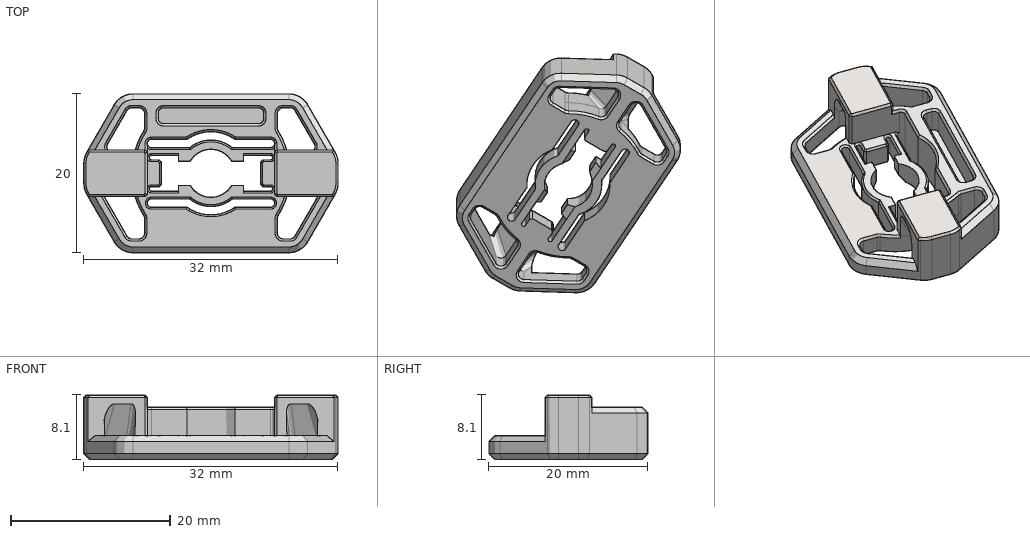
import cadquery as cq
import math

LENGTH = 32.0
WIDTH = 20.0
TOWER_TOP = 8.1
LOW_TOP = 3.0
HIGH_TOP = 6.6
RIM_CHAMFER = 0.75
CORNER_RADIUS = 2.75
END_FLAT_HALF = 2.0

TOWER_INNER_X = 8.0
TOWER_HALF_WIDTH = 2.95
EDGE_CHAMFER = 0.3

RIM_WALL = 1.75
WINDOW_INNER_X = 8.35
WINDOW_ARC_RADIUS = 10.0
WINDOW_END_Y = 1.0
WINDOW_RADIUS = 0.75
ARCH_TOP = 7.0

BORE_RADIUS = 3.0
ARM_INNER_Y = 2.25
ARM_THICKNESS = 1.0
ARM_ARC_RADIUS = 4.2
ARM_SLOT_WIDTH = 1.02
JAW_HALF_GAP = 1.5
JAW_END_X = 4.1
JAW_BEVEL_HEIGHT = 1.0
SLOT_CHAMFER = 0.24

TAB_TIP_X = 6.25
TAB_HALF_WIDTH = 1.7
TAB_CORNER_CHAMFER = 0.3
TAB_SLOT_END_X = 7.75

POCKET_LENGTH = 13.25
POCKET_WIDTH = 2.0
POCKET_CENTER_Y = 7.23
POCKET_RADIUS = 0.65

SLANT = math.radians(60)
HALF_LENGTH = LENGTH / 2
HALF_WIDTH = WIDTH / 2
SLANT_TOP_X = HALF_LENGTH - (HALF_WIDTH - END_FLAT_HALF) / math.tan(SLANT)
ARM_OUTER_Y = ARM_INNER_Y + ARM_THICKNESS
SLOT_OUTER_Y = ARM_OUTER_Y + ARM_SLOT_WIDTH
SLOT_ARC_RADIUS = ARM_ARC_RADIUS + ARM_SLOT_WIDTH
ARM_SLOT_RADIUS = ARM_SLOT_WIDTH / 2
TAB_SLOT_RADIUS = (ARM_INNER_Y - TAB_HALF_WIDTH) / 2
BEVEL_ANGLE = 45
CUT_MARGIN = 0.32


def chord_x(radius, y):
    """X where a circle about the origin crosses the level y."""
    return math.sqrt(radius**2 - y**2)


def block(x0, x1, y0, y1, z0, z1):
    """Box between two corners."""
    return cq.Workplane("XY").box(x1 - x0, y1 - y0, z1 - z0, centered=False).translate((x0, y0, z0))


def both_x(shape):
    """Shape together with its mirror image across X = 0."""
    return shape.union(shape.mirror("YZ"))


def both_y(shape):
    """Shape together with its mirror image across Y = 0."""
    return shape.union(shape.mirror("XZ"))


def edge_bevel(profile, top, size):
    """Cutter that bevels the rim of an opening whose plan is the bottom face of profile."""
    wire = profile.faces("<Z").wires().val()
    wire = wire.translate(cq.Vector(0, 0, -wire.BoundingBox().zmin))
    bevel = cq.Workplane("XY").add(wire).toPending().extrude(size, taper=-BEVEL_ANGLE)
    return bevel.translate((0, 0, top - size))


def outline(height):
    """Six-sided plan with rounded corners and a bevelled bottom rim."""
    right = [(SLANT_TOP_X, -HALF_WIDTH), (HALF_LENGTH, -END_FLAT_HALF),
             (HALF_LENGTH, END_FLAT_HALF), (SLANT_TOP_X, HALF_WIDTH)]
    left = [(-x, -y) for x, y in right]
    body = cq.Workplane("XY").polyline(right + left).close().extrude(height)
    return body.edges("|Z").fillet(CORNER_RADIUS).faces("<Z").chamfer(RIM_CHAMFER)


def window_prism(end_y, height):
    """Round-cornered window in the +X +Y corner, closed by a straight end at end_y."""
    top_y = HALF_WIDTH - RIM_WALL
    slant_top_x = SLANT_TOP_X + RIM_WALL / math.tan(SLANT) - RIM_WALL / math.sin(SLANT)
    slant_end_x = slant_top_x + (top_y - end_y) / math.tan(SLANT)
    arc_end_x = chord_x(WINDOW_ARC_RADIUS, end_y)
    arc_top_y = chord_x(WINDOW_ARC_RADIUS, WINDOW_INNER_X)
    arc_mid_y = (arc_top_y + end_y) / 2
    plan = cq.Workplane("XY").moveTo(arc_end_x, end_y).lineTo(slant_end_x, end_y)
    plan = plan.lineTo(slant_top_x, top_y).lineTo(WINDOW_INNER_X, top_y).lineTo(WINDOW_INNER_X, arc_top_y)
    plan = plan.threePointArc((chord_x(WINDOW_ARC_RADIUS, arc_mid_y), arc_mid_y), (arc_end_x, end_y))
    return plan.close().extrude(height).edges("|Z").fillet(WINDOW_RADIUS)


def window_void():
    """Upright window up to LOW_TOP, then an end wall that leans out to the tower face at ARCH_TOP."""
    upright = window_prism(WINDOW_END_Y, LOW_TOP)
    lower_wire = upright.faces(">Z").wires().val()
    upper_wire = window_prism(TOWER_HALF_WIDTH, ARCH_TOP).faces(">Z").wires().val()
    leaning = cq.Solid.makeLoft([lower_wire, upper_wire], True)
    return upright.union(cq.Workplane("XY").add(leaning))


def arm_slot(height):
    """Round-ended slot along the outside of the +Y arm, bulging around the bore."""
    end_x = TOWER_INNER_X - ARM_SLOT_RADIUS
    mid_y = ARM_OUTER_Y + ARM_SLOT_RADIUS
    inner_x = chord_x(ARM_ARC_RADIUS, ARM_OUTER_Y)
    outer_x = chord_x(SLOT_ARC_RADIUS, SLOT_OUTER_Y)
    plan = cq.Workplane("XY").moveTo(-end_x, ARM_OUTER_Y).lineTo(-inner_x, ARM_OUTER_Y)
    plan = plan.threePointArc((0, ARM_ARC_RADIUS), (inner_x, ARM_OUTER_Y)).lineTo(end_x, ARM_OUTER_Y)
    plan = plan.threePointArc((TOWER_INNER_X, mid_y), (end_x, SLOT_OUTER_Y)).lineTo(outer_x, SLOT_OUTER_Y)
    plan = plan.threePointArc((0, SLOT_ARC_RADIUS), (-outer_x, SLOT_OUTER_Y)).lineTo(-end_x, SLOT_OUTER_Y)
    return plan.threePointArc((-TOWER_INNER_X, mid_y), (-end_x, ARM_OUTER_Y)).close().extrude(height)


def high_notch(height):
    """Clearance in the high half, level with the outer edge of the arm slot."""
    end_x = TOWER_INNER_X - ARM_SLOT_RADIUS
    corner_y = SLOT_OUTER_Y - ARM_SLOT_RADIUS
    middle = ARM_SLOT_RADIUS * math.sqrt(0.5)
    bulge_x = chord_x(SLOT_ARC_RADIUS, SLOT_OUTER_Y)
    plan = cq.Workplane("XY").moveTo(-TOWER_INNER_X, -CUT_MARGIN).lineTo(TOWER_INNER_X, -CUT_MARGIN)
    plan = plan.lineTo(TOWER_INNER_X, corner_y)
    plan = plan.threePointArc((end_x + middle, corner_y + middle), (end_x, SLOT_OUTER_Y))
    plan = plan.lineTo(bulge_x, SLOT_OUTER_Y)
    plan = plan.threePointArc((0, SLOT_ARC_RADIUS), (-bulge_x, SLOT_OUTER_Y)).lineTo(-end_x, SLOT_OUTER_Y)
    plan = plan.threePointArc((-end_x - middle, corner_y + middle), (-TOWER_INNER_X, corner_y))
    return plan.close().extrude(height)


def tab_gap(height):
    """Gap between the +X ends of the arms, wrapped around the tab."""
    end_x = TAB_SLOT_END_X - TAB_SLOT_RADIUS
    mid_y = TAB_HALF_WIDTH + TAB_SLOT_RADIUS
    side_x = TAB_TIP_X + TAB_CORNER_CHAMFER
    tip_y = TAB_HALF_WIDTH - TAB_CORNER_CHAMFER
    plan = cq.Workplane("XY").moveTo(JAW_END_X, -ARM_INNER_Y).lineTo(end_x, -ARM_INNER_Y)
    plan = plan.threePointArc((TAB_SLOT_END_X, -mid_y), (end_x, -TAB_HALF_WIDTH))
    plan = plan.lineTo(side_x, -TAB_HALF_WIDTH).lineTo(TAB_TIP_X, -tip_y)
    plan = plan.lineTo(TAB_TIP_X, tip_y).lineTo(side_x, TAB_HALF_WIDTH).lineTo(end_x, TAB_HALF_WIDTH)
    plan = plan.threePointArc((TAB_SLOT_END_X, mid_y), (end_x, ARM_INNER_Y))
    return plan.lineTo(JAW_END_X, ARM_INNER_Y).close().extrude(height)


def jaw_groove():
    """Lead-in under the jaws, widening from the jaw gap down to the arms."""
    plan = cq.Workplane("YZ").polyline([
        (-ARM_INNER_Y, 0), (ARM_INNER_Y, 0),
        (JAW_HALF_GAP, JAW_BEVEL_HEIGHT), (-JAW_HALF_GAP, JAW_BEVEL_HEIGHT)])
    return plan.close().extrude(JAW_END_X, both=True)


def low_plate():
    """Thin plate with the bore, the spring arms, the tabs and the -Y window bevels."""
    plate = outline(LOW_TOP).faces(">Z").chamfer(RIM_CHAMFER)
    plate = plate.cut(cq.Workplane("XY").circle(BORE_RADIUS).extrude(LOW_TOP))
    plate = plate.cut(block(-JAW_END_X, JAW_END_X, -JAW_HALF_GAP, JAW_HALF_GAP, 0, LOW_TOP))
    plate = plate.cut(jaw_groove())

    gap = tab_gap(LOW_TOP)
    beyond_jaw = block(JAW_END_X, HALF_LENGTH, -HALF_WIDTH, HALF_WIDTH, 0, LOW_TOP)
    gap_bevel = edge_bevel(gap, LOW_TOP, SLOT_CHAMFER).intersect(beyond_jaw)
    plate = plate.cut(both_x(gap)).cut(both_x(gap_bevel))

    slot = arm_slot(LOW_TOP)
    slot_bevel = edge_bevel(slot, LOW_TOP, SLOT_CHAMFER)
    plate = plate.cut(both_y(slot)).cut(both_y(slot_bevel))

    window = window_prism(WINDOW_END_Y, LOW_TOP).mirror("XZ")
    window_bevel = edge_bevel(window, LOW_TOP, EDGE_CHAMFER)
    return plate.cut(both_x(window_bevel))


def high_plate():
    """Thick +Y half with its notch, blind pocket and window bevels."""
    plate = outline(HIGH_TOP).faces(">Z").chamfer(RIM_CHAMFER)
    plate = plate.intersect(block(-HALF_LENGTH, HALF_LENGTH, 0, HALF_WIDTH, 0, HIGH_TOP))
    notch = high_notch(HIGH_TOP)
    plate = plate.cut(notch).cut(edge_bevel(notch, HIGH_TOP, EDGE_CHAMFER))

    pocket = cq.Workplane("XY").center(0, POCKET_CENTER_Y).rect(POCKET_LENGTH, POCKET_WIDTH)
    pocket = pocket.extrude(HIGH_TOP - LOW_TOP).edges("|Z").fillet(POCKET_RADIUS)
    pocket = pocket.translate((0, 0, LOW_TOP))
    plate = plate.cut(pocket).cut(edge_bevel(pocket, HIGH_TOP, EDGE_CHAMFER))

    lean = (TOWER_HALF_WIDTH - WINDOW_END_Y) / (ARCH_TOP - LOW_TOP)
    end_y = WINDOW_END_Y + lean * (HIGH_TOP - EDGE_CHAMFER - LOW_TOP)
    window_bevel = edge_bevel(window_prism(end_y, HIGH_TOP), HIGH_TOP, EDGE_CHAMFER)
    return plate.cut(both_x(window_bevel))


def tower():
    """Upright block at the +X end, following the outline on its outer side."""
    body = outline(TOWER_TOP).intersect(
        block(TOWER_INNER_X, HALF_LENGTH, -TOWER_HALF_WIDTH, TOWER_HALF_WIDTH, 0, TOWER_TOP))
    return body.edges("|Z and <X").chamfer(EDGE_CHAMFER).faces(">Z").chamfer(EDGE_CHAMFER)


window_bottom_bevel = edge_bevel(window_prism(WINDOW_END_Y, LOW_TOP), 0, EDGE_CHAMFER).mirror("XY")
body = low_plate().union(high_plate()).union(both_x(tower()))
body = body.cut(both_x(both_y(window_void())))
result = body.cut(both_x(both_y(window_bottom_bevel)))